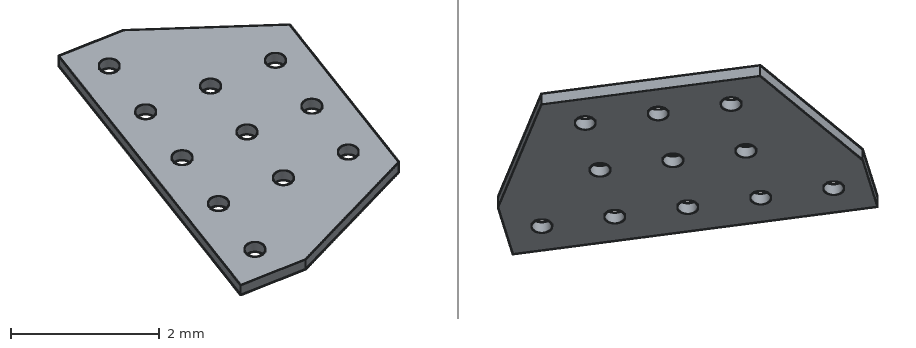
import cadquery as cq

pitch = 1.0
thickness = 0.19
hole_diameter = 0.28

length = 5 * pitch
depth = 3 * pitch
top_edge_length = 3 * pitch
side_height = pitch

holes_per_row = [5, 3, 3]


def plate():
    """Flat plate with both rear corners cut off, long edge along y = 0."""
    half_length = length / 2
    half_top = top_edge_length / 2
    outline = [
        (-half_length, 0),
        (half_length, 0),
        (half_length, side_height),
        (half_top, depth),
        (-half_top, depth),
        (-half_length, side_height),
    ]
    return cq.Workplane("XY").polyline(outline).close().extrude(thickness)


def hole_centers():
    """Centres of the grid cells, each row centred on x = 0."""
    centers = []
    for row, count in enumerate(holes_per_row):
        y = (row + 0.5) * pitch
        for column in range(count):
            x = (column - (count - 1) / 2) * pitch
            centers.append((x, y))
    return centers


def hole_pins():
    """Cylinders that cut the through holes."""
    return (
        cq.Workplane("XY")
        .pushPoints(hole_centers())
        .circle(hole_diameter / 2)
        .extrude(thickness)
    )


result = plate().cut(hole_pins())